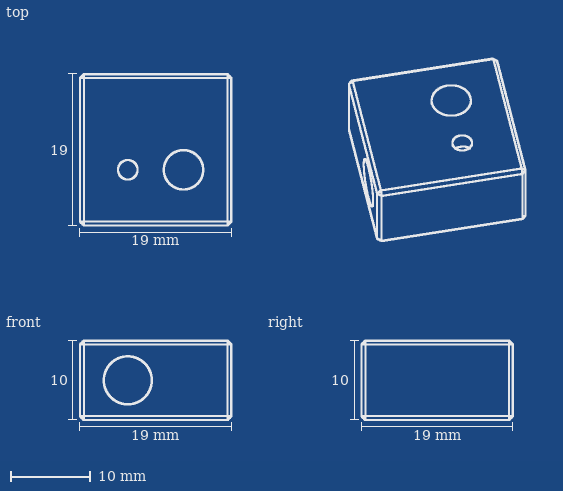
import cadquery as cq

side = 19.0
height = 10.0
edge_chamfer = 0.5

bore_diameter = 6.0
bore_x = 6.0

hole_y = 7.0
through_hole_diameter = 4.92
through_hole_x = 13.0
small_hole_diameter = 2.45
small_hole_x = bore_x

mid_height = height / 2


def vertical_hole(x, diameter, bottom):
    """Cutter from the given bottom height up to the top face."""
    return (
        cq.Workplane("XY", origin=(x, hole_y, bottom))
        .circle(diameter / 2)
        .extrude(height - bottom)
    )


block = cq.Workplane("XY").box(side, side, height, centered=False)
block = block.edges().chamfer(edge_chamfer)

bore = (
    cq.Workplane("XZ", origin=(bore_x, 0, mid_height))
    .circle(bore_diameter / 2)
    .extrude(-side)
)

through_hole = vertical_hole(through_hole_x, through_hole_diameter, 0)

small_hole = vertical_hole(small_hole_x, small_hole_diameter, mid_height)

result = block.cut(bore).cut(through_hole).cut(small_hole)